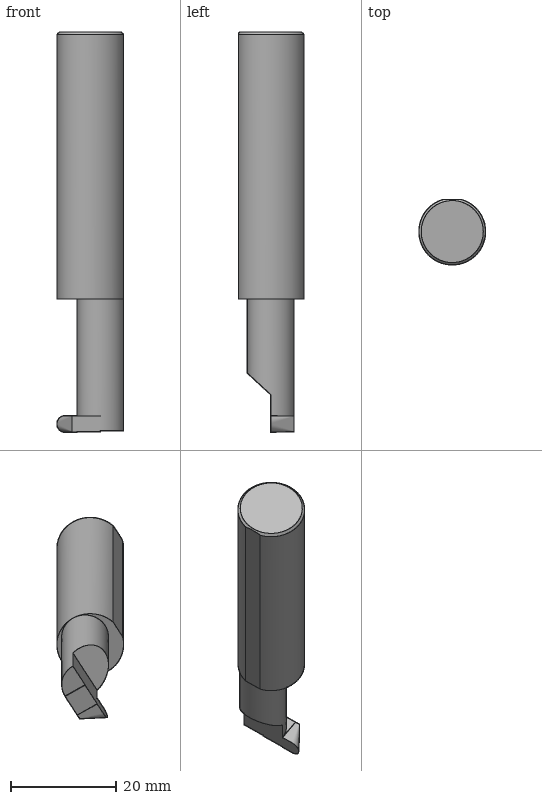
import cadquery as cq
import math

length = 76.15
shank_diameter = 12.7
shank_width_over_flat = 12.5
shank_bottom = 25.35
shank_chamfer = 0.45

neck_diameter = 8.9
neck_bottom = 0.3
neck_radius = neck_diameter / 2
neck_x = (shank_diameter - neck_diameter) / 2
neck_left = neck_x - neck_radius

relief_bottom = 7.15
relief_top = 11.3

tip_x = -shank_diameter / 2
tip_height = 3.2
nose_flat = 0.1
heel_x = -3.5
heel_height = 3.0
heel_corner = 0.1


def make_shank():
    shank = cq.Workplane("XY").workplane(offset=shank_bottom).circle(shank_diameter / 2)
    shank = shank.extrude(length - shank_bottom).faces(">Z").edges().chamfer(shank_chamfer)
    flat_y = shank_width_over_flat - shank_diameter / 2
    flat_cutter = (
        cq.Workplane("XY")
        .box(shank_diameter, shank_diameter, length, centered=(True, False, False))
        .translate((0, flat_y, 0))
    )
    return shank.cut(flat_cutter)


def make_neck():
    neck = (
        cq.Workplane("XY", origin=(neck_x, 0, neck_bottom))
        .circle(neck_radius)
        .extrude(shank_bottom - neck_bottom)
    )
    relief = (
        cq.Workplane("YZ")
        .moveTo(0, 0)
        .lineTo(neck_radius, 0)
        .lineTo(neck_radius, relief_top)
        .lineTo(0, relief_bottom)
        .close()
        .extrude(shank_diameter, both=True)
    )
    return neck.cut(relief)


def tip_section(y, end_x, height, corner):
    """Section in an XZ plane, with two rounded corners at its -X end."""
    middle = tip_height / 2
    bottom = middle - height / 2
    top = middle + height / 2
    arc_start_x = end_x + corner
    inset = corner * (1 - math.sqrt(0.5))
    return (
        cq.Workplane("XZ", origin=(0, y, 0))
        .moveTo(neck_left, bottom)
        .lineTo(arc_start_x, bottom)
        .threePointArc((end_x + inset, bottom + inset), (end_x, bottom + corner))
        .lineTo(end_x, top - corner)
        .threePointArc((end_x + inset, top - inset), (arc_start_x, top))
        .lineTo(neck_left, top)
        .close()
        .val()
    )


def make_tip():
    nose_radius = (tip_height - nose_flat) / 2
    nose = tip_section(0, tip_x, tip_height, nose_radius)
    heel = tip_section(-neck_radius, heel_x, heel_height, heel_corner)
    block = (
        cq.Workplane("XY")
        .box(neck_radius, neck_radius, heel_height, centered=(False, False, True))
        .translate((neck_left, -neck_radius, tip_height / 2))
    )
    return cq.Workplane(cq.Solid.makeLoft([nose, heel], True)).union(block)


result = make_shank().union(make_neck()).union(make_tip())